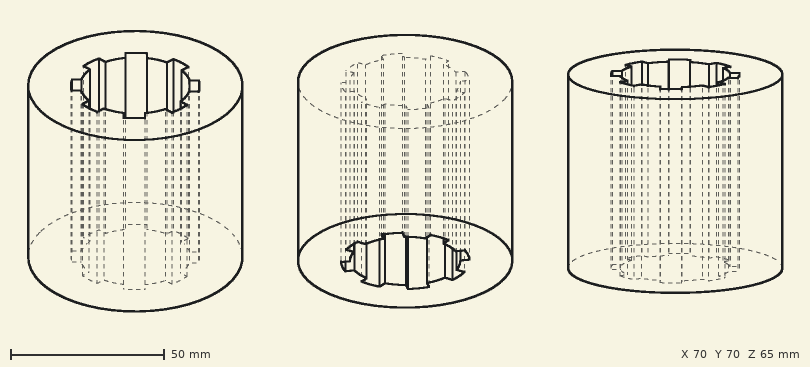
import cadquery as cq

OUTER_DIAMETER = 70.0
LENGTH = 65.0
MINOR_DIAMETER = 36.0
MAJOR_DIAMETER = 42.0
SLOT_WIDTH = 7.0
SLOT_COUNT = 8


def make_sleeve():
    """Plain cylinder, standing on the XY plane, with the minor bore through it."""
    return (
        cq.Workplane("XY")
        .circle(OUTER_DIAMETER / 2)
        .circle(MINOR_DIAMETER / 2)
        .extrude(LENGTH)
    )


def make_spline_slots():
    """Parallel-sided slots, each bar spanning two opposite slots, rounded to the major diameter."""
    major_cylinder = cq.Workplane("XY").circle(MAJOR_DIAMETER / 2).extrude(LENGTH)
    bars = cq.Workplane("XY")
    for index in range(SLOT_COUNT // 2):
        angle = index * 360.0 / SLOT_COUNT
        bar = (
            cq.Workplane("XY")
            .transformed(rotate=(0, 0, angle))
            .rect(OUTER_DIAMETER, SLOT_WIDTH)
            .extrude(LENGTH)
        )
        bars = bars.add(bar)
    return bars.combine().intersect(major_cylinder)


result = make_sleeve().cut(make_spline_slots())